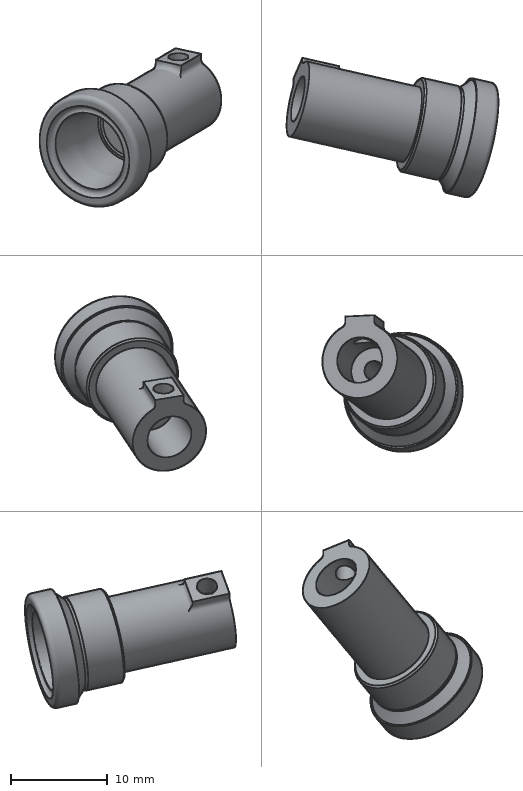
import cadquery as cq
import math

length = 20.0

flange_radius = 6.1
flange_thickness = 2.5
flange_fillet = 0.5
cone_end_y = 3.5
neck_radius = 4.9
cone_start_radius = neck_radius + (cone_end_y - flange_thickness)

collar_radius = 5.0
collar_start_y = 3.8
collar_end_y = 7.8
collar_chamfer = 0.2
barrel_radius = 4.0

groove_outer_radius = 5.0
groove_arc_radius = 0.5
groove_center_radius = groove_outer_radius - groove_arc_radius
rim_radius = 4.15
rim_depth = math.sqrt(groove_arc_radius**2 - (groove_center_radius - rim_radius) ** 2)

lead_in_radius = 4.05
lead_in_depth = 0.8
funnel_radius = 3.65
funnel_depth = 3.4
bore_radius = 3.52
bore_depth = 7.8
seat_radius = 3.25
floor_radius = 3.05
floor_depth = bore_depth + (seat_radius - floor_radius)
axial_hole_radius = 1.0

rear_bore_radius = 2.4
rear_bore_depth = 6.0

lug_width = 3.1
lug_length = 4.0
lug_top_z = 4.65
lug_fillet = 0.6
lug_hole_radius = 1.05
lug_hole_y = length - lug_length / 2


def revolve_about_y(profile):
    """Full turn of a closed half profile around the Y axis."""
    return profile.revolve(360, (0, 0, 0), (0, 1, 0))


def make_outside():
    """Solid of revolution with the flange, cone, neck, collar and barrel."""
    profile = (
        cq.Workplane("XY")
        .lineTo(flange_radius - flange_fillet, 0)
        .radiusArc((flange_radius, flange_fillet), -flange_fillet)
        .lineTo(flange_radius, flange_thickness)
        .lineTo(cone_start_radius, flange_thickness)
        .lineTo(neck_radius, cone_end_y)
        .lineTo(neck_radius, collar_start_y)
        .lineTo(collar_radius, collar_start_y)
        .lineTo(collar_radius, collar_end_y - collar_chamfer)
        .lineTo(collar_radius - collar_chamfer, collar_end_y)
        .lineTo(barrel_radius, collar_end_y)
        .lineTo(barrel_radius, length)
        .lineTo(0, length)
        .close()
    )
    return revolve_about_y(profile)


def add_lug(body):
    """Flat-topped lug with a concave fillet where it meets the barrel."""
    front_y = length - lug_length
    lug = (
        cq.Workplane("XY")
        .box(lug_width, lug_length, lug_top_z, centered=(True, False, False))
        .translate((0, front_y, 0))
    )
    half_width = lug_width / 2
    foot_z = math.sqrt(barrel_radius**2 - half_width**2)
    margin = lug_fillet / 4
    foot_box = cq.selectors.BoxSelector(
        (-half_width - margin, front_y - margin, foot_z - margin),
        (half_width + margin, length - margin, barrel_radius + margin),
    )
    joined = body.union(lug)
    return joined.edges(foot_box).edges("not |Z").fillet(lug_fillet)


def make_bore():
    """Cutter for the face groove, the stepped bore, the axial hole and the rear bore."""
    profile = (
        cq.Workplane("XY")
        .lineTo(groove_outer_radius, 0)
        .threePointArc(
            (groove_center_radius, groove_arc_radius),
            (rim_radius, rim_depth),
        )
        .lineTo(lead_in_radius, lead_in_depth)
        .lineTo(funnel_radius, funnel_depth)
        .lineTo(bore_radius, bore_depth)
        .lineTo(seat_radius, bore_depth)
        .lineTo(floor_radius, floor_depth)
        .lineTo(axial_hole_radius, floor_depth)
        .lineTo(axial_hole_radius, length - rear_bore_depth)
        .lineTo(rear_bore_radius, length - rear_bore_depth)
        .lineTo(rear_bore_radius, length)
        .lineTo(0, length)
        .close()
    )
    return revolve_about_y(profile)


def make_lug_hole():
    """Cutter for the hole from the lug top into the rear bore."""
    return (
        cq.Workplane("XY")
        .center(0, lug_hole_y)
        .circle(lug_hole_radius)
        .extrude(lug_top_z)
    )


result = add_lug(make_outside()).cut(make_bore()).cut(make_lug_hole())